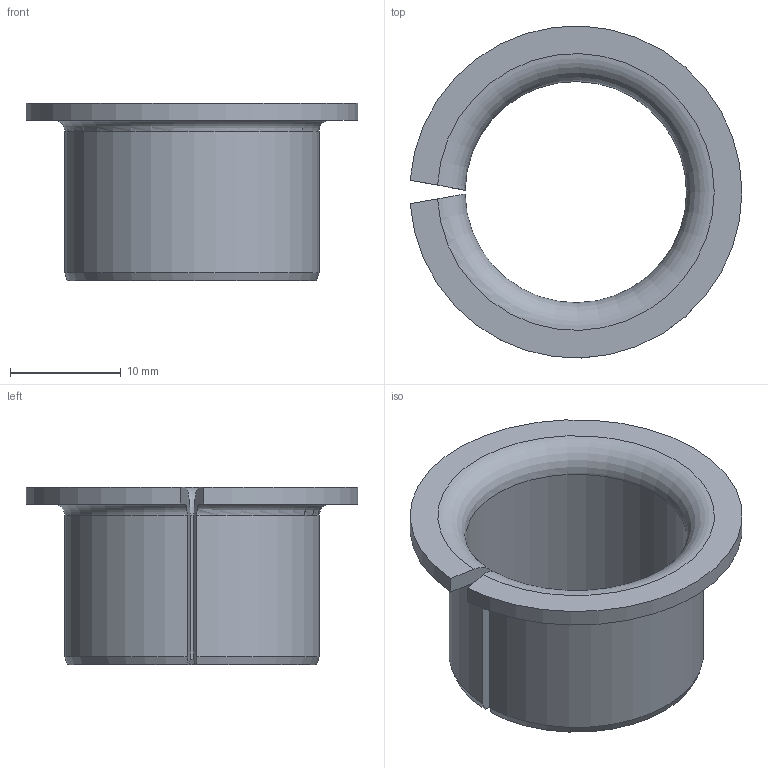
import cadquery as cq
import math

bore_radius = 10.0
wall = 1.5
flange_radius = 15.0
height = 16.0
inner_bend_radius = 2.5
outer_bend_radius = inner_bend_radius - wall

bore_chamfer_height = 0.5
bore_chamfer_angle = 30.0
bore_chamfer_width = bore_chamfer_height * math.tan(math.radians(bore_chamfer_angle))

outer_chamfer_height = 0.7
outer_chamfer_angle = 20.0
outer_chamfer_width = outer_chamfer_height * math.tan(math.radians(outer_chamfer_angle))

split_gap = 0.36
split_side_angle = 10.0
seam_angle = 180.0
wedge_overrun = 1.0

sleeve_radius = bore_radius + wall
bend_center_radius = bore_radius + inner_bend_radius
bend_center_z = height - inner_bend_radius


def bend_midpoint(radius):
    """Middle of a quarter bend of the given radius, as (radius, Z)."""
    offset = radius * math.sqrt(0.5)
    return (bend_center_radius - offset, bend_center_z + offset)


def make_bushing():
    """Full ring: the wall section revolved about Z."""
    section = (
        cq.Workplane("XZ")
        .moveTo(bore_radius, bore_chamfer_height)
        .lineTo(bore_radius + bore_chamfer_width, 0)
        .lineTo(sleeve_radius - outer_chamfer_width, 0)
        .lineTo(sleeve_radius, outer_chamfer_height)
        .lineTo(sleeve_radius, bend_center_z)
        .threePointArc(bend_midpoint(outer_bend_radius), (bend_center_radius, height - wall))
        .lineTo(flange_radius, height - wall)
        .lineTo(flange_radius, height)
        .lineTo(bend_center_radius, height)
        .threePointArc(bend_midpoint(inner_bend_radius), (bore_radius, bend_center_z))
        .close()
    )
    ring = section.revolve(360, (0, 0, 0), (0, 1, 0))
    return ring.rotate((0, 0, 0), (0, 0, 1), seam_angle)


def make_split():
    """Wedge through the full height, widening outward from its tip inside the bore."""
    slope = math.tan(math.radians(split_side_angle))
    tip_x = -bore_radius + split_gap / 2 / slope
    outer_x = -flange_radius - wedge_overrun
    outer_half_gap = (tip_x - outer_x) * slope
    return (
        cq.Workplane("XY")
        .polyline([(tip_x, 0), (outer_x, outer_half_gap), (outer_x, -outer_half_gap)])
        .close()
        .extrude(height)
    )


result = make_bushing().cut(make_split())